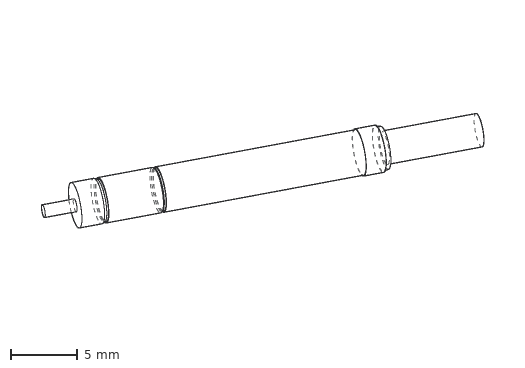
import cadquery as cq

TOTAL_LENGTH = 34.5

PIN_DIAMETER = 1.0
BODY_DIAMETER = 3.52
COLLAR_DIAMETER = 3.65
SHOULDER_END_DIAMETER = 3.3
TAIL_DIAMETER = 2.6

PIN_LENGTH = 2.52
BODY_LENGTH = 22.5
COLLAR_LENGTH = 1.6
SHOULDER_LENGTH = 0.4

GROOVE_DEPTH = 0.1
FRONT_GROOVE_OFFSET = 1.8
FRONT_GROOVE_FLOOR = 0.15
FRONT_GROOVE_SLOPE = 0.2
REAR_GROOVE_OFFSET = 6.45
REAR_GROOVE_FLOOR = 0.15
REAR_GROOVE_SLOPE = 0.1

pin_front = -TOTAL_LENGTH / 2
body_front = pin_front + PIN_LENGTH
collar_front = body_front + BODY_LENGTH
shoulder_front = collar_front + COLLAR_LENGTH
tail_front = shoulder_front + SHOULDER_LENGTH
tail_end = pin_front + TOTAL_LENGTH


def revolve_profile(points):
    """Turn a closed (radius, y) outline around the Y axis."""
    return cq.Workplane("XY").polyline(points).close().revolve(360, (0, 0, 0), (0, 1, 0))


def turned_section(start, end, start_diameter, end_diameter):
    """Cylinder, or cone when the two diameters differ, on the Y axis."""
    return revolve_profile([(0, start), (start_diameter / 2, start), (end_diameter / 2, end), (0, end)])


def cut_groove(solid, offset, floor_length, slope_length):
    """Cut a groove around the body: a front slope, a flat floor and a square rear wall."""
    surface = BODY_DIAMETER / 2
    bottom = surface - GROOVE_DEPTH
    start = body_front + offset
    floor_start = start + slope_length
    floor_end = floor_start + floor_length
    ring = revolve_profile([(surface, start), (bottom, floor_start), (bottom, floor_end), (surface, floor_end)])
    return solid.cut(ring)


body = turned_section(body_front, collar_front, BODY_DIAMETER, BODY_DIAMETER)
body = cut_groove(body, FRONT_GROOVE_OFFSET, FRONT_GROOVE_FLOOR, FRONT_GROOVE_SLOPE)
body = cut_groove(body, REAR_GROOVE_OFFSET, REAR_GROOVE_FLOOR, REAR_GROOVE_SLOPE)

pin = turned_section(pin_front, body_front, PIN_DIAMETER, PIN_DIAMETER)
collar = turned_section(collar_front, shoulder_front, COLLAR_DIAMETER, COLLAR_DIAMETER)
shoulder = turned_section(shoulder_front, tail_front, BODY_DIAMETER, SHOULDER_END_DIAMETER)
tail = turned_section(tail_front, tail_end, TAIL_DIAMETER, TAIL_DIAMETER)

result = body.union(pin).union(collar).union(shoulder).union(tail)